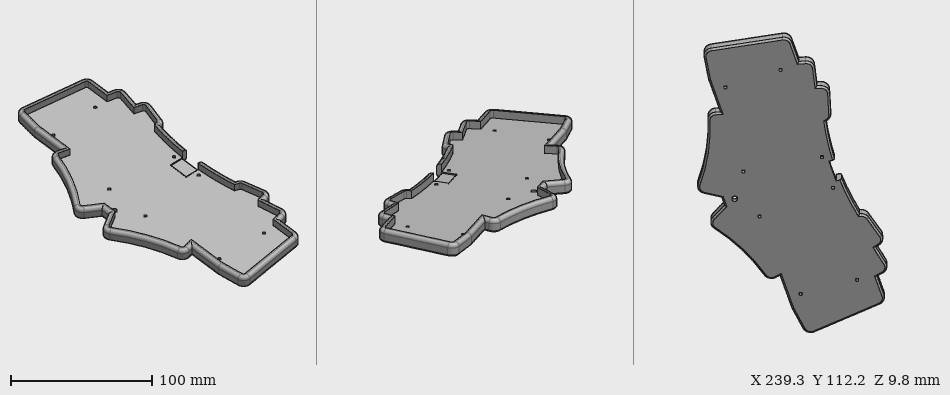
import cadquery as cq
import math

length = 239.3
height = 9.8
floor_thickness = 3.8
wall = 4.0
corner_radius = 6.0
rim_fillet = 2.9
base_chamfer = 1.5

wing_tilt = math.radians(8)
wing_front_y = -18.7
rounding_loss = corner_radius * (math.cos(wing_tilt) + math.sin(wing_tilt) - 1)
wing_front = (length / 2 + rounding_loss, wing_front_y)

back_mid_y = 43.0
tail_notch = (3.4, -42.0)
tail_tip = (13.6, -58.6)
tail_arc_mid = (40.7, -41.6)
tail_shoulder = (71.0, -31.0)
front_edge_y = -22.0
front_notch = (69.0, front_edge_y)
front_bend = (wing_front[0] - (wing_front_y - front_edge_y) / math.tan(wing_tilt), front_edge_y)
back_edge_y = 43.0
wing_back = (wing_front[0] - (back_edge_y - wing_front_y) * math.tan(wing_tilt), back_edge_y)
outer_step = (90.5, back_edge_y)
outer_ear = (88.0, 53.4)
ear_notch = (68.0, 49.3)
inner_ear = (65.5, 57.7)
inner_ear_end = (40.5, 51.0)
back_arc_end = (39.0, 46.7)
convex_corners = [tail_tip, tail_shoulder, wing_front, wing_back,
                  outer_ear, inner_ear, inner_ear_end]

corner_tolerance = 0.02

opening_width = 16.5
opening_front_y = 27.8
recess_depth = 1.0

screw_diameter = 2.2
screw_places = [(88.5, 29.0), (13.0, 35.5), (87.0, -12.5), (19.0, -21.0)]
button_diameter = 4.0
button_y = -33.5


def mirrored(point):
    return (-point[0], point[1])


def sharp_outline():
    """Outer outline with every corner left sharp, drawn counterclockwise from the tail notch."""
    right_side = [front_notch, front_bend, wing_front, wing_back, outer_step, outer_ear,
                  ear_notch, inner_ear, inner_ear_end, back_arc_end]
    outline = cq.Workplane("XY").moveTo(*mirrored(tail_notch))
    outline = outline.lineTo(*tail_notch).lineTo(*tail_tip)
    outline = outline.threePointArc(tail_arc_mid, tail_shoulder)
    for point in right_side:
        outline = outline.lineTo(*point)
    outline = outline.threePointArc((0, back_mid_y), mirrored(back_arc_end))
    for point in reversed(right_side[:-1]):
        outline = outline.lineTo(*mirrored(point))
    outline = outline.lineTo(*mirrored(tail_shoulder))
    outline = outline.threePointArc(mirrored(tail_arc_mid), mirrored(tail_tip))
    return outline.close()


def at_convex_corner(edge):
    """Tell whether an upright edge stands on one of the convex corners."""
    center = edge.Center()
    return any(
        math.hypot(abs(center.x) - x, center.y - y) < corner_tolerance
        for x, y in convex_corners
    )


def rounded_block():
    block = sharp_outline().extrude(height)
    corner_edges = [edge for edge in block.edges("|Z").vals() if at_convex_corner(edge)]
    return block.newObject(corner_edges).fillet(corner_radius)


def outer_shell():
    shell = rounded_block().faces("<Z").edges().chamfer(base_chamfer)
    return shell.faces(">Z").edges().fillet(rim_fillet)


def inside_walls(depth):
    """Prism from the base upward, set in from the outer walls by the wall thickness."""
    outer_wires = rounded_block().faces("<Z").wires().vals()
    inset = cq.Workplane("XY").add(outer_wires).toPending().offset2D(-wall, "tangent")
    return inset.extrude(depth)


def opening_box(bottom_z):
    """Box as wide as the opening, reaching from its front end past the back of the tray."""
    start = cq.Workplane("XY").workplane(offset=bottom_z).center(0, opening_front_y)
    return start.box(opening_width, back_mid_y, height, centered=(True, False, False))


def floor_holes():
    places = screw_places + [mirrored(place) for place in screw_places]
    screws = cq.Workplane("XY").pushPoints(places).circle(screw_diameter / 2).extrude(height)
    button = cq.Workplane("XY").center(0, button_y).circle(button_diameter / 2).extrude(height)
    return screws.union(button)


rim = outer_shell().cut(inside_walls(height)).cut(opening_box(0))
floor = inside_walls(floor_thickness).cut(opening_box(floor_thickness - recess_depth))
result = rim.union(floor).cut(floor_holes())